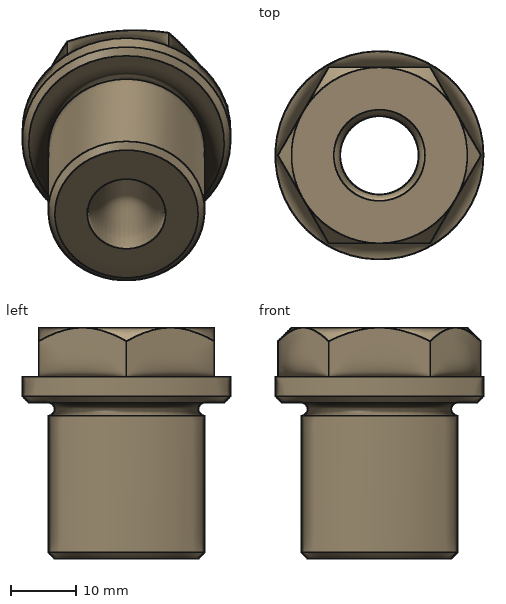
import cadquery as cq
import math

hex_across_flats = 27.0
hex_height = 7.5
flange_diameter = 32.0
flange_thickness = 4.0
flange_chamfer = 1.0
shank_diameter = 24.0
shank_length = 24.0
shank_chamfer = 1.0
groove_radius = 1.0
groove_floor_diameter = 22.1
bore_diameter = 12.0
bore_chamfer = 1.0

hex_across_corners = hex_across_flats / math.cos(math.pi / 6)
flange_radius = flange_diameter / 2
shank_radius = shank_diameter / 2
groove_centre_radius = groove_floor_diameter / 2 + groove_radius
bore_radius = bore_diameter / 2
top_z = flange_thickness + hex_height
end_z = -shank_length

groove_edge_angle = -math.degrees(math.acos((groove_centre_radius - shank_radius) / groove_radius))


def groove_point(angle_degrees):
    """Point on the relief arc; 0 degrees is the groove floor, 90 the sealing face."""
    angle = math.radians(angle_degrees)
    return (
        groove_centre_radius - groove_radius * math.cos(angle),
        -groove_radius + groove_radius * math.sin(angle),
    )


def turned_body():
    """Shank, relief groove and flange, revolved from one half profile."""
    return (
        cq.Workplane("XZ")
        .moveTo(0, end_z)
        .lineTo(shank_radius - shank_chamfer, end_z)
        .lineTo(shank_radius, end_z + shank_chamfer)
        .lineTo(*groove_point(groove_edge_angle))
        .threePointArc(groove_point(0), groove_point(90))
        .lineTo(flange_radius - flange_chamfer, 0)
        .lineTo(flange_radius, flange_chamfer)
        .lineTo(flange_radius, flange_thickness)
        .lineTo(0, flange_thickness)
        .close()
        .revolve(360, (0, 0, 0), (0, 1, 0))
    )


def hex_head():
    """Hexagon with corners on X, its top corners turned off by a 45 degree cone."""
    hexagon = (
        cq.Workplane("XY", origin=(0, 0, flange_thickness))
        .polygon(6, hex_across_corners)
        .extrude(hex_height)
    )
    cone_top_radius = hex_across_flats / 2
    cone_base_radius = cone_top_radius + hex_height
    cone_envelope = (
        cq.Workplane("XZ")
        .moveTo(0, flange_thickness)
        .lineTo(cone_base_radius, flange_thickness)
        .lineTo(cone_top_radius, top_z)
        .lineTo(0, top_z)
        .close()
        .revolve(360, (0, 0, 0), (0, 1, 0))
    )
    return hexagon.intersect(cone_envelope)


def bore_cutter():
    """Through bore with a countersunk upper mouth."""
    return (
        cq.Workplane("XZ")
        .moveTo(0, end_z)
        .lineTo(bore_radius, end_z)
        .lineTo(bore_radius, top_z - bore_chamfer)
        .lineTo(bore_radius + bore_chamfer, top_z)
        .lineTo(0, top_z)
        .close()
        .revolve(360, (0, 0, 0), (0, 1, 0))
    )


result = turned_body().union(hex_head()).cut(bore_cutter())